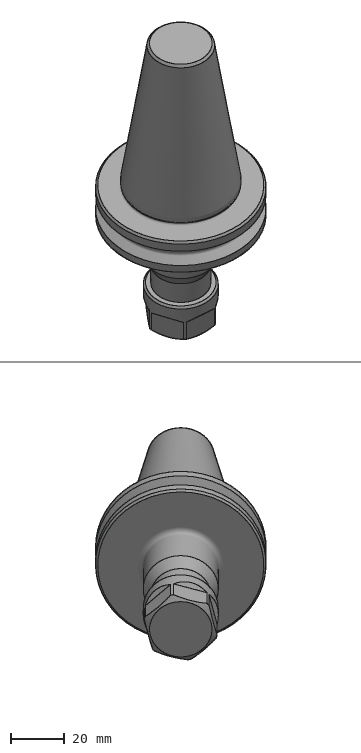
import cadquery as cq
import math

NUT_RADIUS = 14.0
NUT_HEIGHT = 17.8
NUT_TOP_CHAMFER = 0.8
NUT_BOTTOM_CHAMFER_HEIGHT = 1.7
NUT_BOTTOM_RADIUS = 11.6
ACROSS_FLATS = 24.7
FLAT_COUNT = 6
FLAT_HEIGHT = 10.2

NECK_RADIUS = 11.2
NECK_TOP = 27.2
SHANK_RADIUS = 14.0
SHANK_BOTTOM = 32.4
SHANK_FILLET = 2.1

FLANGE_RADIUS = 63.5 / 2
FLANGE_BOTTOM = 51.0
FLANGE_TOP = 66.8
FLANGE_CHAMFER = 0.8
GROOVE_RADIUS = 56.0 / 2
GROOVE_BOTTOM = 55.2
GROOVE_TOP = 62.4
GROOVE_FILLET = 0.8
GROOVE_FLANK_HEIGHT = (FLANGE_RADIUS - GROOVE_RADIUS) * math.tan(math.radians(30))

TOTAL_HEIGHT = 138.2
TAPER_BOTTOM = 70.2
TAPER_RADIUS = 22.4
TAPER_SLOPE = 7 / 24 / 2
PILOT_BOTTOM = 68.0
UNDERCUT_RADIUS = 22.0
UNDERCUT_FILLET = 0.8
TIP_CHAMFER = 1.0


def revolved_body():
    """Half outline in the XZ plane turned about Z, from the nut up to the tip."""
    tip_radius = TAPER_RADIUS - TAPER_SLOPE * (TOTAL_HEIGHT - TIP_CHAMFER - TAPER_BOTTOM)
    arc_inset = 1 - math.sqrt(0.5)
    shank_mid = SHANK_FILLET * arc_inset
    undercut_mid = UNDERCUT_FILLET * arc_inset
    outline = (
        cq.Workplane("XZ")
        .lineTo(NUT_BOTTOM_RADIUS, 0)
        .lineTo(NUT_RADIUS, NUT_BOTTOM_CHAMFER_HEIGHT)
        .lineTo(NUT_RADIUS, NUT_HEIGHT - NUT_TOP_CHAMFER)
        .lineTo(NUT_RADIUS - NUT_TOP_CHAMFER, NUT_HEIGHT)
        .lineTo(NECK_RADIUS, NUT_HEIGHT)
        .lineTo(NECK_RADIUS, NECK_TOP)
        .lineTo(SHANK_RADIUS, SHANK_BOTTOM)
        .lineTo(SHANK_RADIUS, FLANGE_BOTTOM - SHANK_FILLET)
        .threePointArc(
            (SHANK_RADIUS + shank_mid, FLANGE_BOTTOM - shank_mid),
            (SHANK_RADIUS + SHANK_FILLET, FLANGE_BOTTOM),
        )
        .lineTo(FLANGE_RADIUS - FLANGE_CHAMFER, FLANGE_BOTTOM)
        .lineTo(FLANGE_RADIUS, FLANGE_BOTTOM + FLANGE_CHAMFER)
        .lineTo(FLANGE_RADIUS, GROOVE_BOTTOM)
        .lineTo(GROOVE_RADIUS, GROOVE_BOTTOM + GROOVE_FLANK_HEIGHT)
        .lineTo(GROOVE_RADIUS, GROOVE_TOP - GROOVE_FLANK_HEIGHT)
        .lineTo(FLANGE_RADIUS, GROOVE_TOP)
        .lineTo(FLANGE_RADIUS, FLANGE_TOP - FLANGE_CHAMFER)
        .lineTo(FLANGE_RADIUS - FLANGE_CHAMFER, FLANGE_TOP)
        .lineTo(UNDERCUT_RADIUS + UNDERCUT_FILLET, FLANGE_TOP)
        .threePointArc(
            (UNDERCUT_RADIUS + undercut_mid, FLANGE_TOP + undercut_mid),
            (UNDERCUT_RADIUS, FLANGE_TOP + UNDERCUT_FILLET),
        )
        .lineTo(UNDERCUT_RADIUS, PILOT_BOTTOM)
        .lineTo(TAPER_RADIUS, PILOT_BOTTOM)
        .lineTo(TAPER_RADIUS, TAPER_BOTTOM)
        .lineTo(tip_radius, TOTAL_HEIGHT - TIP_CHAMFER)
        .lineTo(tip_radius - TIP_CHAMFER, TOTAL_HEIGHT)
        .lineTo(0, TOTAL_HEIGHT)
        .close()
    )
    return outline.revolve(360, (0, 0), (0, 1))


def fillet_groove_floor(body):
    """Round the lower inner corner of the groove; its circular edge is centred on Z."""
    edge_height = GROOVE_BOTTOM + GROOVE_FLANK_HEIGHT
    tolerance = 0.1
    corner = cq.selectors.BoxSelector(
        (-tolerance, -tolerance, edge_height - tolerance),
        (tolerance, tolerance, edge_height + tolerance),
    )
    return body.edges(corner).fillet(GROOVE_FILLET)


def wrench_flat_cutter():
    """Cutter for the flat facing +Y, its upper end running out at 45 degrees."""
    flat_distance = ACROSS_FLATS / 2
    depth = NUT_RADIUS - flat_distance
    return (
        cq.Workplane("YZ")
        .moveTo(flat_distance, 0)
        .lineTo(flat_distance, FLAT_HEIGHT)
        .lineTo(flat_distance + depth, FLAT_HEIGHT + depth)
        .lineTo(flat_distance + depth, 0)
        .close()
        .extrude(NUT_RADIUS, both=True)
    )


result = fillet_groove_floor(revolved_body())
for index in range(FLAT_COUNT):
    angle = index * 360 / FLAT_COUNT
    result = result.cut(wrench_flat_cutter().rotate((0, 0, 0), (0, 0, 1), angle))